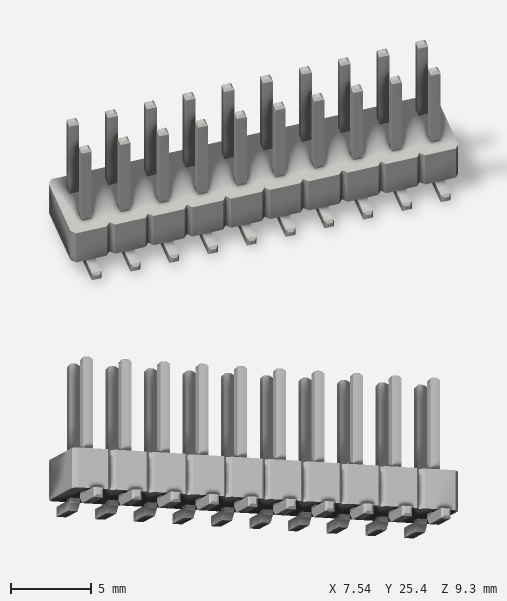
import cadquery as cq

pitch = 2.54
rows = 10
columns = 2
pin_width = 0.64
pin_height_above_body = 6.0
tip_taper = pin_width / 4
body_height = 2.54
body_lift = 0.76
foot_span = 7.54
bend_chamfer = 0.42
corner_inset = 0.32
corner_length = 0.26

body_width = columns * pitch
body_length = rows * pitch
half_width = body_width / 2
half_length = body_length / 2
body_top = body_lift + body_height
pin_top = body_top + pin_height_above_body
pin_x = pitch / 2
pin_inner_x = pin_x - pin_width / 2
pin_outer_x = pin_x + pin_width / 2
foot_tip_x = foot_span / 2
row_centres = [(row - (rows - 1) / 2) * pitch for row in range(rows)]


def make_body():
    """Insulator block with bevelled corners and a V notch between adjacent rows."""
    right_edge = []
    for y in row_centres:
        cell_start = y - pitch / 2
        cell_end = y + pitch / 2
        right_edge.append((half_width - corner_inset, cell_start))
        right_edge.append((half_width, cell_start + corner_length))
        right_edge.append((half_width, cell_end - corner_length))
    right_edge.append((half_width - corner_inset, half_length))
    left_edge = [(-x, y) for x, y in reversed(right_edge)]
    outline = cq.Workplane("XY").workplane(offset=body_lift).polyline(right_edge + left_edge)
    return outline.close().extrude(body_height)


def make_pin():
    """L-shaped square pin on the +X side, centred on Y = 0, with tapered tips."""
    profile = [
        (pin_inner_x, pin_top),
        (pin_inner_x, bend_chamfer),
        (pin_inner_x + bend_chamfer, 0),
        (foot_tip_x, 0),
        (foot_tip_x, pin_width),
        (pin_outer_x, pin_width),
        (pin_outer_x, pin_top),
    ]
    pin = cq.Workplane("XZ").polyline(profile).close().extrude(pin_width / 2, both=True)
    pin = pin.faces(">Z").chamfer(tip_taper)
    return pin.faces(">X").chamfer(tip_taper)


def make_header():
    """Body joined with a mirrored pair of pins in every row."""
    right_pin = make_pin()
    left_pin = right_pin.mirror("YZ")
    header = make_body()
    for y in row_centres:
        for pin in (right_pin, left_pin):
            header = header.union(pin.translate((0, y, 0)))
    return header


result = make_header()